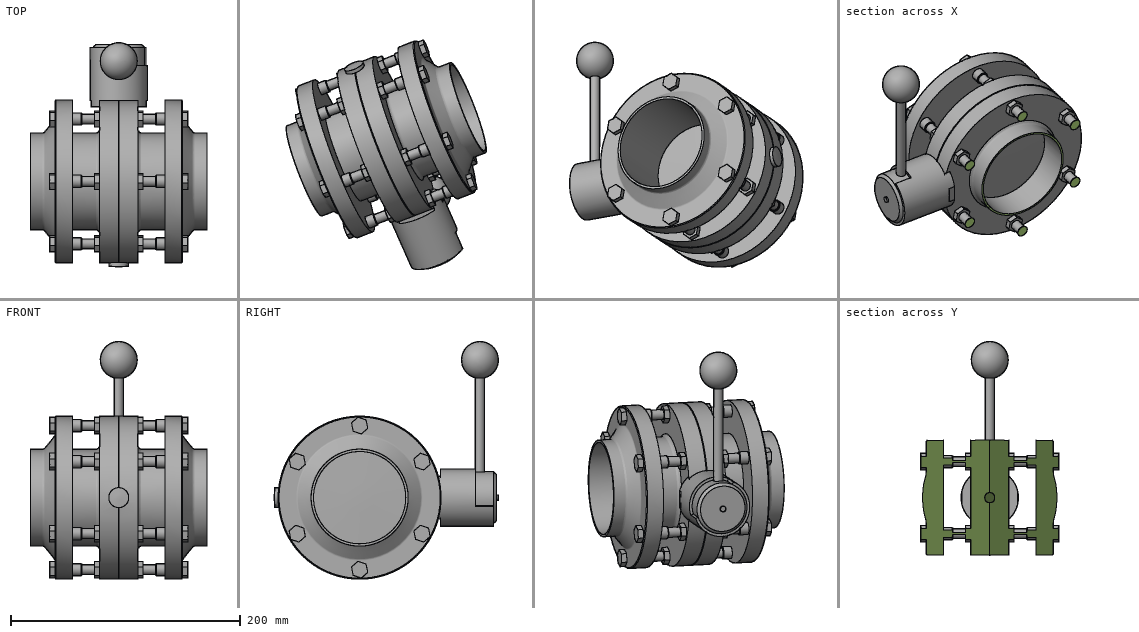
import cadquery as cq
import math


pipe_outer_radius = 42.3
pipe_wall = 2.0
bore_radius = pipe_outer_radius - pipe_wall
flange_radius = 71.0
wafer_half_width = 16.5
wafer_cone_rise = 2.5
wafer_cone_length = 2.0
flange_inner_x = 40.2
flange_outer_x = 55.5
neck_flange_radius = 54.3
neck_end_x = 65.2
overall_length = 154.0
pipe_end_x = overall_length / 2
cone_fillet = 2.0
selection_margin = 0.2
flange_chamfer = 0.8
seam_chamfer = 0.5

bolt_count = 6
bolt_circle_radius = 62.8
hex_corner_diameter = 15.0
hex_sides = 6
hex_rotation = 101.0
hex_height = 4.8
spacer_radius = 5.4
spacer_length = 8.0
spacer_chamfer = 0.6
shank_radius = 4.3

disc_rim_half_thickness = 5.2
disc_cone_height = 1.0
stem_radius = 4.1
stem_end_y = 87.0
button_radius = 8.7
button_seat_y = 68.4
button_rim_y = 74.0
button_tip_y = 74.5

hub_radius = 25.0
core_radius = 22.5
hub_start_y = 64.8
hub_end_y = 116.8
core_chamfer = 2.5
cap_radius = 2.5
cap_end_y = 120.8
slot_floor_y = 70.5
flat_offset = 24.0
recess_start_y = 100.9
recess_from_angle = -18.0
recess_to_angle = 114.0
lever_radius = 4.1
lever_y = 104.8
ball_radius = 16.2
ball_center_z = 120.0


def rod_along_x(radius, x_start, length):
    return cq.Workplane("YZ", origin=(x_start, 0, 0)).circle(radius).extrude(length)


def rod_along_y(radius, y_start, y_end):
    plane = cq.Workplane("XZ", origin=(0, y_start, 0))
    return plane.circle(radius).extrude(y_start - y_end)


def hexagon_along_x(x_start):
    plane = cq.Workplane("YZ", origin=(x_start, 0, 0))
    hexagon = plane.polygon(hex_sides, hex_corner_diameter).extrude(hex_height)
    return hexagon.rotate((0, 0, 0), (1, 0, 0), hex_rotation)


def circle_at(x, radius):
    """Selector of the circular edge about X with the given position and radius."""
    reach = radius + selection_margin
    near_corner = (x - selection_margin, -reach, -reach)
    far_corner = (x + selection_margin, reach, reach)
    return cq.selectors.BoxSelector(near_corner, far_corner, boundingbox=True)


def turned_half():
    """Wafer half, pipe, outer flange and neck, turned about X on the +X side."""
    wafer_cone_x = wafer_half_width + wafer_cone_length
    profile = [
        (0, bore_radius),
        (0, flange_radius - seam_chamfer),
        (seam_chamfer, flange_radius),
        (wafer_half_width, flange_radius),
        (wafer_half_width, pipe_outer_radius + wafer_cone_rise),
        (wafer_cone_x, pipe_outer_radius),
        (flange_inner_x, pipe_outer_radius),
        (flange_inner_x, flange_radius),
        (flange_outer_x - flange_chamfer, flange_radius),
        (flange_outer_x, flange_radius - flange_chamfer),
        (flange_outer_x, neck_flange_radius),
        (neck_end_x, pipe_outer_radius),
        (pipe_end_x, pipe_outer_radius),
        (pipe_end_x, bore_radius),
    ]
    half = cq.Workplane("XY").polyline(profile).close().revolve(360, (0, 0, 0), (1, 0, 0))
    for x, radius in [
        (wafer_cone_x, pipe_outer_radius),
        (neck_end_x, pipe_outer_radius),
        (flange_outer_x, neck_flange_radius),
    ]:
        half = half.edges(circle_at(x, radius)).fillet(cone_fillet)
    return half


def bolt_pieces():
    """Bolt on the X axis, as the outer head and the joined spacer, shank and wafer nut."""
    head = hexagon_along_x(flange_outer_x)
    spacer = rod_along_x(spacer_radius, flange_inner_x - spacer_length, spacer_length)
    spacer = spacer.faces("<X").chamfer(spacer_chamfer)
    shank = rod_along_x(shank_radius, wafer_half_width, flange_inner_x - wafer_half_width)
    nut = hexagon_along_x(wafer_half_width)
    return [head, spacer.union(shank).union(nut)]


def stem_and_button():
    stem = rod_along_y(stem_radius, -button_seat_y, stem_end_y)
    button_section = (
        cq.Workplane("XY")
        .moveTo(0, -button_seat_y)
        .lineTo(button_radius, -button_seat_y)
        .lineTo(button_radius, -button_rim_y)
        .lineTo(0, -button_tip_y)
        .close()
    )
    return stem.union(button_section.revolve(360, (0, 0, 0), (0, 1, 0)))


def make_valve_half(side):
    """Valve half on the +X side (side = 1) or mirrored to the -X side (side = -1)."""
    half = turned_half()
    for index in range(bolt_count):
        angle = index * 360 / bolt_count
        for piece in bolt_pieces():
            placed = piece.translate((0, 0, bolt_circle_radius))
            half = half.union(placed.rotate((0, 0, 0), (1, 0, 0), angle))
    if side < 0:
        half = half.mirror("YZ")
    return half.cut(stem_and_button())


def make_disc():
    """Closed disc with shallow conical faces, on the stem that ends in the button."""
    tip_x = disc_rim_half_thickness + disc_cone_height
    profile = [
        (-tip_x, 0),
        (-disc_rim_half_thickness, bore_radius),
        (disc_rim_half_thickness, bore_radius),
        (tip_x, 0),
    ]
    disc = cq.Workplane("XY").polyline(profile).close().revolve(360, (0, 0, 0), (1, 0, 0))
    return disc.union(stem_and_button())


def hub_recess():
    """Sector of the hub's outer layer that is removed around the lever."""
    reach = 2 * hub_radius
    middle = (recess_from_angle + recess_to_angle) / 2
    corners = [(0, 0)]
    for angle in (recess_from_angle, middle, recess_to_angle):
        radians = math.radians(angle)
        corners.append((reach * math.cos(radians), reach * math.sin(radians)))
    length = hub_end_y - recess_start_y
    sector = cq.Workplane("XZ", origin=(0, recess_start_y, 0)).polyline(corners).close().extrude(-length)
    return sector.cut(rod_along_y(core_radius, recess_start_y, hub_end_y))


def hub_fork():
    """Open end of the hub: flats on both outer sides and a slot that straddles the wafer."""
    length = slot_floor_y - hub_start_y
    limits = cq.Workplane("XY").box(2 * flat_offset, length, 2 * hub_radius)
    slot = cq.Workplane("XY").box(2 * wafer_half_width, length, 2 * hub_radius)
    cheeks = limits.cut(slot).translate((0, hub_start_y + length / 2, 0))
    return rod_along_y(hub_radius, hub_start_y, slot_floor_y).intersect(cheeks)


def make_handle():
    """Forked hub saddled onto the wafer, with lever, ball and end cap."""
    sleeve = rod_along_y(hub_radius, slot_floor_y, hub_end_y).cut(hub_recess())
    core = rod_along_y(core_radius, slot_floor_y, hub_end_y + core_chamfer)
    core = core.faces(">Y").chamfer(core_chamfer)
    cap = rod_along_y(cap_radius, hub_end_y, cap_end_y)
    lever = cq.Workplane("XY", origin=(0, lever_y, 0)).circle(lever_radius).extrude(ball_center_z)
    ball = cq.Workplane("XY", origin=(0, lever_y, ball_center_z)).sphere(ball_radius)
    handle = sleeve.union(core).union(cap).union(hub_fork()).union(lever).union(ball)
    wafer = rod_along_x(flange_radius, -wafer_half_width, 2 * wafer_half_width)
    return handle.cut(wafer).cut(stem_and_button())


left_half = make_valve_half(-1)
right_half = make_valve_half(1)
disc = make_disc()
handle = make_handle()

result = cq.Compound.makeCompound([left_half.val(), right_half.val(), disc.val(), handle.val()])